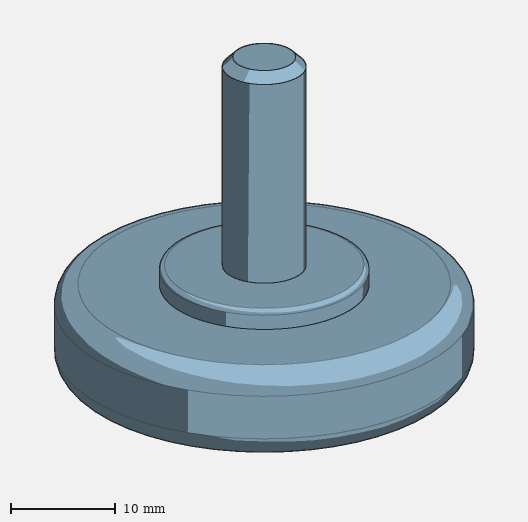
import cadquery as cq

base_diameter = 40.0
base_height = 9.0
base_edge_radius = base_height / 4
collar_diameter = base_diameter / 2
collar_height = 2.0
collar_edge_radius = collar_height / 4
stem_diameter = 8.0
stem_length = 22.0
stem_chamfer = stem_diameter / 8

collar_bottom = base_height
stem_bottom = collar_bottom + collar_height


def cylinder(diameter, height, bottom):
    """Vertical cylinder on the Z axis, standing on the given height."""
    return cq.Workplane("XY").workplane(offset=bottom).circle(diameter / 2).extrude(height)


base = cylinder(base_diameter, base_height, 0).edges().fillet(base_edge_radius)

collar = cylinder(collar_diameter, collar_height, collar_bottom)
collar = collar.faces(">Z").edges().fillet(collar_edge_radius)

stem = cylinder(stem_diameter, stem_length, stem_bottom)
stem = stem.faces(">Z").edges().chamfer(stem_chamfer)

result = base.union(collar).union(stem)